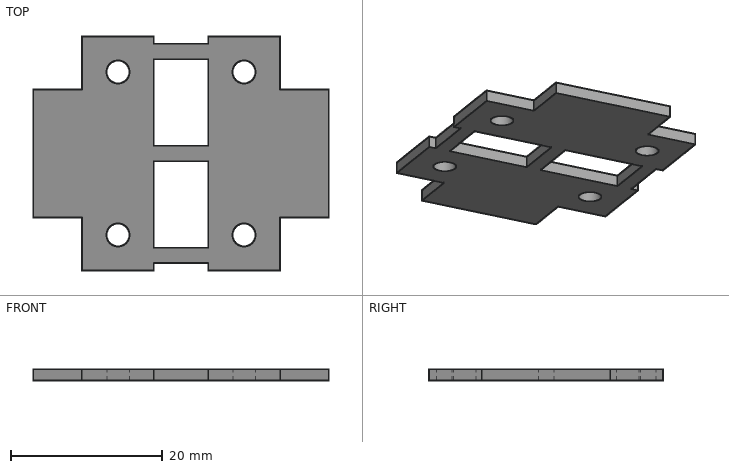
import cadquery as cq

length = 39.08
width = 30.95
thickness = 1.52
body_length = 26.2
wing_width = 16.92
window_length = 7.2
notch_depth = 0.98
bar_width = 2.07
hole_diameter = 3.0
hole_spacing_x = 16.65
hole_spacing_y = 21.55

window_width = (width - 2 * notch_depth - 3 * bar_width) / 2
window_offset = (bar_width + window_width) / 2
notch_offset = (width - notch_depth) / 2


def block(size_x, size_y, center_y=0):
    """Full-thickness block centred on X, standing on Z = 0."""
    return (
        cq.Workplane("XY")
        .center(0, center_y)
        .rect(size_x, size_y)
        .extrude(thickness)
    )


plate = block(body_length, width).union(block(length, wing_width))

for side in (-1, 1):
    plate = plate.cut(block(window_length, window_width, side * window_offset))
    plate = plate.cut(block(window_length, notch_depth, side * notch_offset))

result = (
    plate.faces(">Z")
    .workplane(origin=(0, 0, thickness))
    .rect(hole_spacing_x, hole_spacing_y, forConstruction=True)
    .vertices()
    .hole(hole_diameter)
)